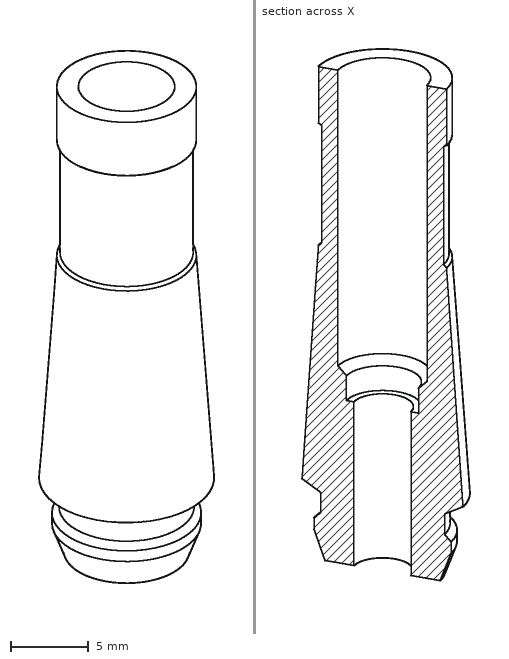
import cadquery as cq

length = 34.9
collar_length = 4.0
neck_length = 8.45
nose_height = 2.1
bead_height = 0.8
bead_shoulder = 0.45
skirt_underside_height = 0.75
skirt_height = 5.5
lip_height = 0.2
collar_underside_height = 0.1

nose_radius = 4.05
bead_radius = 4.8
undercut_radius = bead_radius - bead_shoulder
skirt_radius = 5.65
collar_radius = 4.5
neck_radius = collar_radius - lip_height

socket_radius = 3.1
seat_radius = 2.5
hole_radius = 2.0
socket_depth = 20.95
seat_height = socket_radius - seat_radius
counterbore_depth = 1.75

bead_top = nose_height + bead_height
undercut_bottom = bead_top + bead_shoulder
undercut_top = skirt_height - skirt_underside_height
collar_bottom = length - collar_length
neck_bottom = collar_bottom - neck_length
taper_top = neck_bottom - lip_height
seat_top = length - socket_depth
seat_bottom = seat_top - seat_height
counterbore_floor = seat_bottom - counterbore_depth

outer_outline = [
    (nose_radius, 0),
    (bead_radius, nose_height),
    (bead_radius, bead_top),
    (undercut_radius, undercut_bottom),
    (undercut_radius, undercut_top),
    (skirt_radius, skirt_height),
    (collar_radius, taper_top),
    (neck_radius, neck_bottom),
    (neck_radius, collar_bottom - collar_underside_height),
    (collar_radius, collar_bottom),
    (collar_radius, length),
]

bore_outline = [
    (socket_radius, length),
    (socket_radius, seat_top),
    (seat_radius, seat_bottom),
    (seat_radius, counterbore_floor),
    (hole_radius, counterbore_floor),
    (hole_radius, 0),
]

result = (
    cq.Workplane("YZ")
    .polyline(outer_outline + bore_outline)
    .close()
    .revolve(360, (0, 0, 0), (0, 1, 0))
)